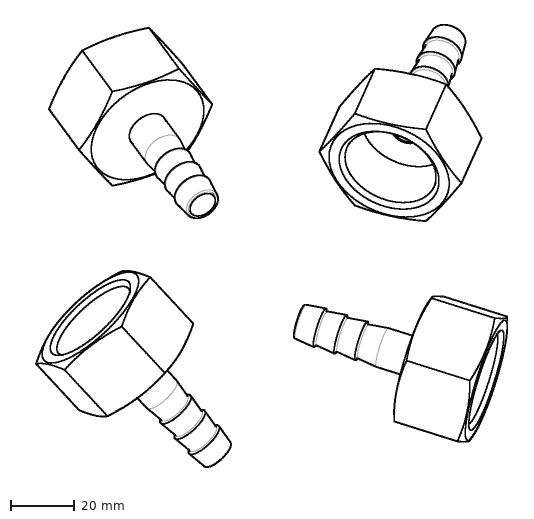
import cadquery as cq
import math

overall_length = 63.0

nut_length = 24.0
across_flats = 41.0
across_corners = across_flats / math.cos(math.pi / 6)
nut_face_diameter = 40.0
nut_chamfer_angle = 20.0
nut_bore_diameter = 30.3
nut_entry_diameter = 33.25

tube_diameter = 13.0
flange_diameter = 29.4
flange_face_x = 18.0
flange_thickness = 3.0
flange_back_x = flange_face_x + flange_thickness
through_bore_diameter = 9.0
bore_chamfer = 0.3

barb_count = 4
barb_pitch = 7.0
barb_taper_angle = 7.0
barb_end_radius = tube_diameter / 2 - barb_pitch * math.tan(math.radians(barb_taper_angle))
first_barb_x = overall_length - barb_count * barb_pitch
root_fillet = 0.5
tip_fillet = 0.5

selection_margin = 0.05


def cylinder(diameter, start_x, end_x):
    """Solid cylinder about the X axis."""
    return cq.Workplane("YZ", origin=(start_x, 0, 0)).circle(diameter / 2).extrude(end_x - start_x)


def revolved_about_x(points):
    """Solid of revolution about the X axis from (x, radius) points."""
    return cq.Workplane("XY").polyline(points).close().revolve(360, (0, 0, 0), (1, 0, 0))


def make_nut():
    """Hexagonal nut, corners on the Y axis, with a stepped hole for the nipple."""
    hexagon = cq.Workplane("YZ").polygon(6, across_corners).extrude(nut_length)

    face_radius = nut_face_diameter / 2
    corner_radius = across_corners / 2
    cone_length = (corner_radius - face_radius) * math.tan(math.radians(nut_chamfer_angle))
    turned_envelope = revolved_about_x([
        (0, 0),
        (0, face_radius),
        (cone_length, corner_radius),
        (nut_length - cone_length, corner_radius),
        (nut_length, face_radius),
        (nut_length, 0),
    ])

    bore_radius = nut_bore_diameter / 2
    entry_radius = nut_entry_diameter / 2
    entry_depth = entry_radius - bore_radius
    stepped_hole = revolved_about_x([
        (0, 0),
        (0, entry_radius),
        (entry_depth, bore_radius),
        (flange_back_x, bore_radius),
        (flange_back_x, tube_diameter / 2),
        (nut_length, tube_diameter / 2),
        (nut_length, 0),
    ])
    return hexagon.intersect(turned_envelope).cut(stepped_hole)


def make_barb(start_x):
    """One barb: full tube diameter at start_x, tapering towards the hose end."""
    end_x = start_x + barb_pitch
    return revolved_about_x([
        (start_x, 0),
        (start_x, tube_diameter / 2),
        (end_x, barb_end_radius),
        (end_x, 0),
    ])


def circle_at(x, radius_rank):
    """Selector pair for a circular edge in the plane at x; rank 0 is the smallest circle there."""
    plane_edges = cq.selectors.BoxSelector(
        (x - selection_margin, -flange_diameter, -flange_diameter),
        (x + selection_margin, flange_diameter, flange_diameter),
        boundingbox=True,
    )
    return plane_edges, cq.selectors.RadiusNthSelector(radius_rank)


def make_nipple():
    """Flanged tube with a row of barbs and a through bore."""
    barb_starts = [first_barb_x + index * barb_pitch for index in range(barb_count)]

    nipple = cylinder(flange_diameter, flange_face_x, flange_back_x)
    nipple = nipple.union(cylinder(tube_diameter, flange_back_x, first_barb_x))
    for start_x in barb_starts:
        nipple = nipple.union(make_barb(start_x))

    for shoulder_x in barb_starts[1:]:
        in_plane, root_circle = circle_at(shoulder_x, 0)
        nipple = nipple.edges(in_plane).edges(root_circle).fillet(root_fillet)
    nipple = nipple.faces(">X").edges().fillet(tip_fillet)

    nipple = nipple.cut(cylinder(through_bore_diameter, flange_face_x, overall_length))
    in_plane, bore_circle = circle_at(flange_face_x, 0)
    return nipple.edges(in_plane).edges(bore_circle).chamfer(bore_chamfer)


nut = make_nut()
nipple = make_nipple()

result = cq.Compound.makeCompound([nut.val(), nipple.val()])